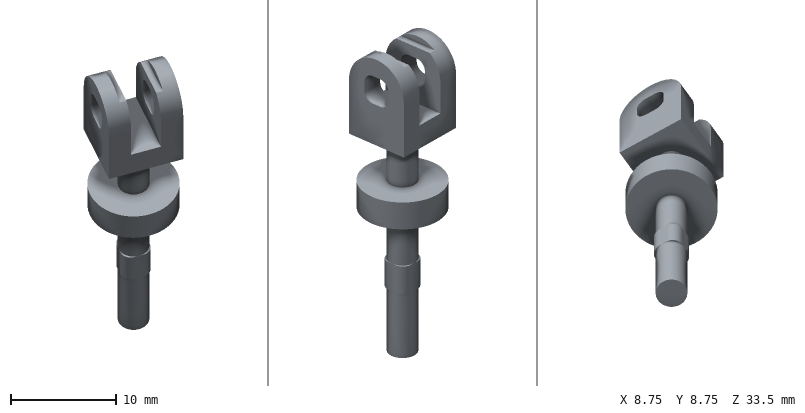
import cadquery as cq

total_length = 33.45
pin_size = 3.0

head_width = 6.93
head_depth = 7.53
head_height = 9.4
head_radius = head_width / 2
head_bottom = total_length - head_height
eye_height = total_length - head_radius
base_thickness = 2.55
slot_floor = head_bottom + base_thickness
step_width = 4.38
step_depth = 0.75

flange_diameter = 8.75
flange_bottom = 15.75
flange_thickness = 2.95
collar_bottom = 7.13
collar_height = pin_size
corner_radius = 1.05


def rounded_square_bar(length):
    """Square bar along Z, centred on the origin, with its long edges rounded."""
    return cq.Workplane("XY").box(pin_size, pin_size, length).edges("|Z").fillet(corner_radius)


def top_slot(width, floor):
    """Cutter running through the head along X, open at the top."""
    height = total_length - floor
    return (
        cq.Workplane("XY", origin=(0, 0, floor))
        .box(head_width, width, height, centered=(True, True, False))
    )


def fork_head():
    """Round-topped block with a stepped slot and a rounded-square eye along Y."""
    block = (
        cq.Workplane("XZ", origin=(0, head_depth / 2, 0))
        .moveTo(-head_radius, head_bottom)
        .lineTo(head_radius, head_bottom)
        .lineTo(head_radius, eye_height)
        .threePointArc((0, total_length), (-head_radius, eye_height))
        .close()
        .extrude(head_depth)
    )
    eye = (
        rounded_square_bar(head_depth)
        .rotate((0, 0, 0), (1, 0, 0), 90)
        .translate((0, 0, eye_height))
    )
    return (
        block
        .cut(top_slot(pin_size, slot_floor))
        .cut(top_slot(step_width, total_length - step_depth))
        .cut(eye)
    )


pin = cq.Workplane("XY").circle(pin_size / 2).extrude(head_bottom)
flange = (
    cq.Workplane("XY", origin=(0, 0, flange_bottom))
    .circle(flange_diameter / 2)
    .extrude(flange_thickness)
)
collar = rounded_square_bar(collar_height).translate((0, 0, collar_bottom + collar_height / 2))

result = pin.union(flange).union(collar).union(fork_head())